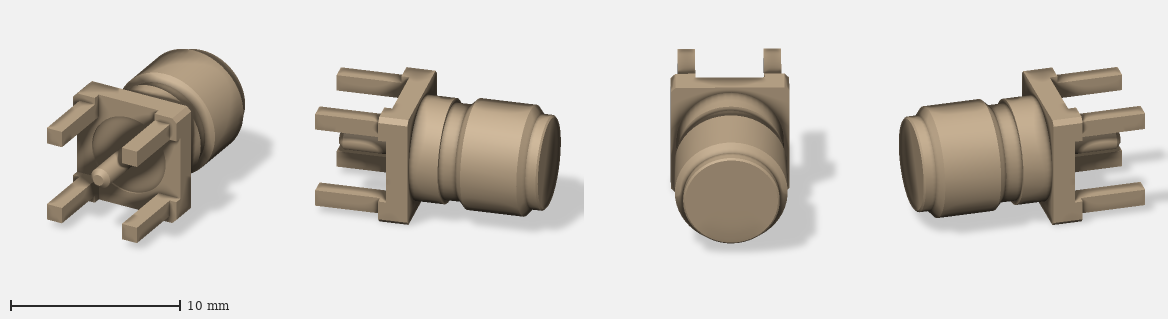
import cadquery as cq

flange_side = 7.0
flange_corner_chamfer = 0.28
flange_back_y = 4.44
flange_front_y = 5.74

foot_side = 1.47
foot_back_y = 3.95
leg_side = 1.03

recess_diameter = 5.0
recess_depth = 0.14

pin_diameter = 1.27
pin_tip_diameter = 0.7
pin_tip_y = 0.75
pin_chamfer_length = 0.3

collar_diameter = 6.33
collar_end_y = 7.49
neck_diameter = 5.8
neck_end_y = 8.48
sleeve_diameter = 6.67
sleeve_start_y = 8.91
sleeve_end_y = 12.34
nose_diameter = 5.71
nose_start_y = 12.76
nose_chamfer = 0.11
total_length = 13.5


def box_between(x_range, y_range, z_range):
    """Box spanning the given (low, high) ranges."""
    spans = [high - low for low, high in (x_range, y_range, z_range)]
    corner = (x_range[0], y_range[0], z_range[0])
    return cq.Workplane("XY").box(*spans, centered=False).translate(corner)


def turned(stations):
    """Solid of revolution about Y through (diameter, y) stations."""
    profile = [(diameter / 2, y) for diameter, y in stations]
    outline = [(0, stations[0][1])] + profile + [(0, stations[-1][1])]
    return cq.Workplane("XY").polyline(outline).close().revolve(360, (0, 0), (0, 1))


def cornered_block(y_range):
    """Square block with the flange outline and chamfered corners."""
    half = flange_side / 2
    block = box_between((-half, half), y_range, (-half, half))
    return block.edges("|Y").chamfer(flange_corner_chamfer)


def corner_posts(inner, outer, y_range):
    """Four square posts between two distances from the axis."""
    posts = cq.Workplane("XY")
    for x_range in ((-outer, -inner), (inner, outer)):
        for z_range in ((-outer, -inner), (inner, outer)):
            posts = posts.add(box_between(x_range, y_range, z_range))
    return posts.combine()


recess = turned([
    (recess_diameter, flange_back_y),
    (recess_diameter, flange_back_y + recess_depth),
])
flange = cornered_block((flange_back_y, flange_front_y)).cut(recess)

post_inner = flange_side / 2 - foot_side
foot_range = (foot_back_y, flange_back_y)
feet = cornered_block(foot_range).intersect(
    corner_posts(post_inner, flange_side / 2, foot_range)
)
legs = corner_posts(post_inner, post_inner + leg_side, (0, foot_back_y))

barrel = turned([
    (collar_diameter, flange_front_y),
    (collar_diameter, collar_end_y),
    (neck_diameter, collar_end_y),
    (neck_diameter, neck_end_y),
    (sleeve_diameter, sleeve_start_y),
    (sleeve_diameter, sleeve_end_y),
    (nose_diameter, nose_start_y),
    (nose_diameter, total_length - nose_chamfer),
    (nose_diameter - 2 * nose_chamfer, total_length),
])

pin = turned([
    (pin_tip_diameter, pin_tip_y),
    (pin_diameter, pin_tip_y + pin_chamfer_length),
    (pin_diameter, flange_back_y + recess_depth),
])

result = flange.union(feet).union(legs).union(barrel).union(pin)